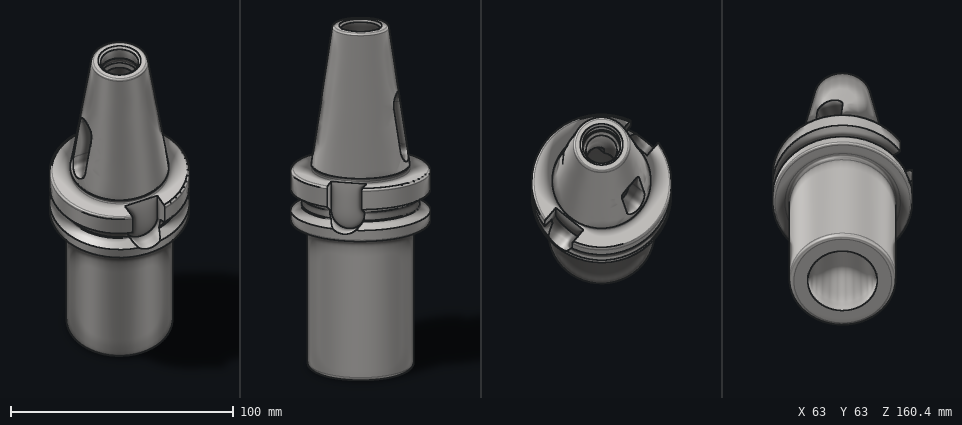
import cadquery as cq
import math

GAUGE_HEIGHT = 95.0
TAPER_LENGTH = 65.4
TOTAL_HEIGHT = GAUGE_HEIGHT + TAPER_LENGTH

GAUGE_RADIUS = 44.45 / 2
TAPER_SLOPE = 7 / 48
TAPER_TOP_RADIUS = GAUGE_RADIUS - TAPER_SLOPE * TAPER_LENGTH
TAPER_TOP_FILLET = 1.0

RELIEF_DEPTH = 0.7
RELIEF_FILLET = 0.6

NECK_RADIUS = GAUGE_RADIUS - RELIEF_DEPTH
FLANGE_GAP = 2.0

FLANGE_RADIUS = 63.0 / 2
FLANGE_THICKNESS = 25.0
FLANGE_TOP = GAUGE_HEIGHT - FLANGE_GAP
FLANGE_BOTTOM = FLANGE_TOP - FLANGE_THICKNESS
FLANGE_RIM_FILLET = 1.0
GROOVE_CENTRE = GAUGE_HEIGHT - 16.6
GROOVE_RADIUS = 26.6
GROOVE_FLOOR_WIDTH = 4.2
GROOVE_FLANK_ANGLE = math.radians(30)
GROOVE_FILLET = 0.6

BODY_RADIUS = 48.0 / 2
BODY_ROOT_FILLET = 2.0
BODY_END_FILLET = 2.0

NOTCH_WIDTH = 16.1
NOTCH_FLOOR = 22.5
NOTCH_LOW_POINT = 71.5

SLOT_WIDTH = 12.2
SLOT_LENGTH = 32.0
SLOT_LOW_POINT = 98.1

SOCKET_MOUTH_RADIUS = 31.267 / 2
SOCKET_DEPTH = 118.0
SOCKET_SLOPE = 1 / 19.254 / 2
SOCKET_END_RADIUS = SOCKET_MOUTH_RADIUS - SOCKET_SLOPE * SOCKET_DEPTH

DRAWBAR_RADIUS = 14.0 / 2
PILOT_RADIUS = 17.0 / 2
PILOT_LENGTH = 6.7
PILOT_RELIEF_WIDTH = 2.7
PILOT_MOUTH_CHAMFER = 1.1


def revolve_outline(corners):
    """Revolve a closed outline about Z; each corner is (radius, height, fillet radius)."""
    outline = None
    for index, (radius, height, fillet) in enumerate(corners):
        corner = cq.Vector(radius, height)
        before = cq.Vector(*corners[index - 1][:2])
        after = cq.Vector(*corners[(index + 1) % len(corners)][:2])
        to_before = (before - corner).normalized()
        to_after = (after - corner).normalized()
        half_angle = to_before.getAngle(to_after) / 2
        trim = fillet / math.tan(half_angle)
        arc_start = corner + to_before * trim
        if outline is None:
            outline = cq.Workplane("YZ").moveTo(arc_start.x, arc_start.y)
        else:
            outline = outline.lineTo(arc_start.x, arc_start.y)
        if fillet > 0:
            inward = (to_before + to_after).normalized()
            arc_middle = corner + inward * (fillet / math.sin(half_angle) - fillet)
            arc_end = corner + to_after * trim
            outline = outline.threePointArc((arc_middle.x, arc_middle.y), (arc_end.x, arc_end.y))
    return outline.close().revolve(360, (0, 0, 0), (0, 1, 0))


def make_outside():
    """Body, grooved flange, relief neck and steep taper as one turned shape."""
    groove_half = GROOVE_FLOOR_WIDTH / 2
    mouth_half = groove_half + (FLANGE_RADIUS - GROOVE_RADIUS) * math.tan(GROOVE_FLANK_ANGLE)
    return revolve_outline([
        (0, 0, 0),
        (BODY_RADIUS, 0, BODY_END_FILLET),
        (BODY_RADIUS, FLANGE_BOTTOM, BODY_ROOT_FILLET),
        (FLANGE_RADIUS, FLANGE_BOTTOM, FLANGE_RIM_FILLET),
        (FLANGE_RADIUS, GROOVE_CENTRE - mouth_half, 0),
        (GROOVE_RADIUS, GROOVE_CENTRE - groove_half, GROOVE_FILLET),
        (GROOVE_RADIUS, GROOVE_CENTRE + groove_half, GROOVE_FILLET),
        (FLANGE_RADIUS, GROOVE_CENTRE + mouth_half, 0),
        (FLANGE_RADIUS, FLANGE_TOP, FLANGE_RIM_FILLET),
        (NECK_RADIUS, FLANGE_TOP, RELIEF_FILLET),
        (NECK_RADIUS, GAUGE_HEIGHT, RELIEF_FILLET),
        (GAUGE_RADIUS, GAUGE_HEIGHT, 0),
        (TAPER_TOP_RADIUS, TOTAL_HEIGHT, TAPER_TOP_FILLET),
        (0, TOTAL_HEIGHT, 0),
    ])


def make_bore():
    """Morse socket, drawbar hole and relieved pilot bore as one turned core."""
    relief_radius = PILOT_RADIUS + RELIEF_DEPTH
    relief_top = TOTAL_HEIGHT - PILOT_LENGTH
    relief_bottom = relief_top - PILOT_RELIEF_WIDTH
    seat_bottom = relief_bottom - (PILOT_RADIUS - DRAWBAR_RADIUS)
    return revolve_outline([
        (0, 0, 0),
        (SOCKET_MOUTH_RADIUS, 0, 0),
        (SOCKET_END_RADIUS, SOCKET_DEPTH, 0),
        (DRAWBAR_RADIUS, SOCKET_DEPTH, 0),
        (DRAWBAR_RADIUS, seat_bottom, 0),
        (PILOT_RADIUS, relief_bottom, 0),
        (relief_radius, relief_bottom, RELIEF_FILLET),
        (relief_radius, relief_top, RELIEF_FILLET),
        (PILOT_RADIUS, relief_top, 0),
        (PILOT_RADIUS, TOTAL_HEIGHT - PILOT_MOUTH_CHAMFER, 0),
        (PILOT_RADIUS + PILOT_MOUTH_CHAMFER, TOTAL_HEIGHT, 0),
        (0, TOTAL_HEIGHT, 0),
    ])


def make_ejector_slot():
    """Round-ended slot crossing the whole taper along Y."""
    return (
        cq.Workplane("XZ")
        .center(0, SLOT_LOW_POINT + SLOT_LENGTH / 2)
        .slot2D(SLOT_LENGTH, SLOT_WIDTH, 90)
        .extrude(FLANGE_RADIUS, both=True)
    )


def make_notch(side):
    """Drive notch with a round lower end; side is +1 or -1 along X."""
    arc_radius = NOTCH_WIDTH / 2
    arc_height = NOTCH_LOW_POINT + arc_radius
    return (
        cq.Workplane("YZ", origin=(side * NOTCH_FLOOR, 0, 0))
        .moveTo(-arc_radius, FLANGE_TOP)
        .lineTo(-arc_radius, arc_height)
        .threePointArc((0, NOTCH_LOW_POINT), (arc_radius, arc_height))
        .lineTo(arc_radius, FLANGE_TOP)
        .close()
        .extrude(side * FLANGE_RADIUS)
    )


result = make_outside().cut(make_bore()).cut(make_ejector_slot())
for notch_side in (-1, 1):
    result = result.cut(make_notch(notch_side))